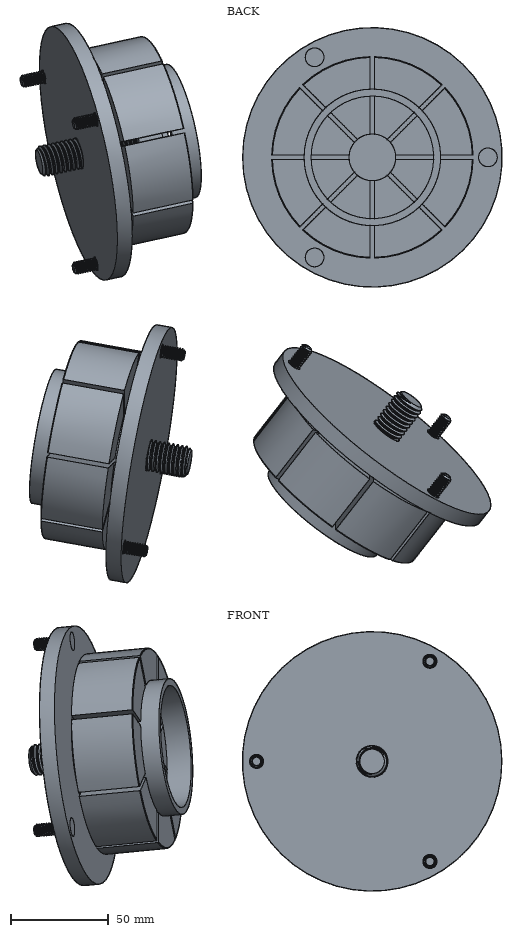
import cadquery as cq
import math


FLANGE_RADIUS = 66.5
FLANGE_THICKNESS = 8.0
NECK_RADIUS = 31.4
NECK_LENGTH = 5.2
JAW_RADIUS = 51.5
JAW_LENGTH = 32.3
JAW_CHAMFER = 0.4
JAW_FRONT = FLANGE_THICKNESS + NECK_LENGTH
JAW_BACK = JAW_FRONT + JAW_LENGTH

SLOT_COUNT = 8
SLOT_WIDTH = 2.3
SLOT_FLOOR = FLANGE_THICKNESS + NECK_LENGTH / 2

RING_RADIUS = 35.0
RING_WALL = 3.6
RING_PROTRUSION = 9.6
RING_SEAT_DEPTH = 3.0
RING_FRONT = JAW_BACK - RING_SEAT_DEPTH
RING_LENGTH = RING_SEAT_DEPTH + RING_PROTRUSION

BOLT_RADIUS = 8.0
BOLT_TIP_CHAMFER = 1.7
BOLT_PROTRUSION = 21.1
BOLT_HEAD_RADIUS = 12.0
BOLT_HEAD_SEAT = 29.8
BOLT_SHANK_LENGTH = BOLT_PROTRUSION + BOLT_HEAD_SEAT
BOLT_THREAD_TURNS = 22
BOLT_PITCH = BOLT_SHANK_LENGTH / BOLT_THREAD_TURNS
BOLT_HEAD_HEIGHT = RING_FRONT - BOLT_HEAD_SEAT
BOLT_HOLE_RADIUS = 8.1

SCREW_COUNT = 3
SCREW_CIRCLE_RADIUS = 59.1
SCREW_FIRST_ANGLE = 60
SCREW_RADIUS = 3.2
SCREW_HOLE_RADIUS = 3.6
SCREW_PITCH = 1.28
SCREW_TIP_CHAMFER = 1.0
SCREW_PROTRUSION = 12.0
SCREW_HEAD_RADIUS = 4.8
SCREW_HEAD_HEIGHT = 3.2
SCREW_HEAD_SEAT = FLANGE_THICKNESS - SCREW_HEAD_HEIGHT

THREAD_DEPTH_RATIO = 5 / 8 * math.sqrt(3) / 2
CREST_FLAT_RATIO = 1 / 8
FLANK_ANGLE = math.radians(30)
THREAD_START_ANGLE = 245
ROOT_OVERLAP = 0.1
ENVELOPE_MARGIN = 0.01


def cylinder(radius, y_start, length):
    """Cylinder on the Y axis running from y_start towards +Y."""
    return cq.Workplane("XZ", origin=(0, y_start, 0)).circle(radius).extrude(-length)


def thread_ridge(radius, root, pitch, length):
    """Right-hand helical ridge on the Z axis, with its flanks continued a little below the root."""
    base = root - ROOT_OVERLAP
    crest_half = CREST_FLAT_RATIO * pitch / 2
    base_half = crest_half + (radius - base) * math.tan(FLANK_ANGLE)
    profile = [(base, -base_half), (radius, -crest_half), (radius, crest_half), (base, base_half)]
    helix = cq.Workplane(cq.Wire.makeHelix(pitch, length, root))
    return cq.Workplane("XZ").polyline(profile).close().sweep(helix, isFrenet=True)


def threaded_rod(radius, pitch, length, tip_chamfer):
    """Threaded rod on the Y axis with its chamfered tip at Y = 0, running towards +Y."""
    root = radius - THREAD_DEPTH_RATIO * pitch
    ridge = thread_ridge(radius, root, pitch, length + 2 * pitch)
    ridge = ridge.rotate((0, 0, 0), (0, 0, 1), THREAD_START_ANGLE).translate((0, 0, -pitch))
    core = cq.Workplane("XY").circle(root).extrude(length + 4 * pitch).translate((0, 0, -2 * pitch))
    thread = core.union(ridge)
    envelope = cq.Workplane("XY").circle(radius + ENVELOPE_MARGIN).extrude(length)
    envelope = envelope.faces("<Z").chamfer(tip_chamfer)
    return thread.intersect(envelope).rotate((0, 0, 0), (1, 0, 0), -90)


def screw_positions():
    """(x, z) of each mounting screw, evenly spaced around the flange."""
    angles = [math.radians(SCREW_FIRST_ANGLE + i * 360 / SCREW_COUNT) for i in range(SCREW_COUNT)]
    return [(SCREW_CIRCLE_RADIUS * math.cos(a), SCREW_CIRCLE_RADIUS * math.sin(a)) for a in angles]


def make_screw_head():
    """Screw head flush with the back of the flange, which is also the shape of its counterbore."""
    return cylinder(SCREW_HEAD_RADIUS, SCREW_HEAD_SEAT, SCREW_HEAD_HEIGHT)


def make_clamp_body():
    flange = cylinder(FLANGE_RADIUS, 0, FLANGE_THICKNESS)
    neck = cylinder(NECK_RADIUS, FLANGE_THICKNESS, NECK_LENGTH)
    jaws = cylinder(JAW_RADIUS, JAW_FRONT, JAW_LENGTH).faces(">Y").chamfer(JAW_CHAMFER)
    body = flange.union(neck).union(jaws)

    body = body.cut(cylinder(BOLT_HOLE_RADIUS, 0, BOLT_HEAD_SEAT))
    body = body.cut(cylinder(BOLT_HEAD_RADIUS, BOLT_HEAD_SEAT, BOLT_HEAD_HEIGHT))
    body = body.cut(cylinder(RING_RADIUS, RING_FRONT, RING_SEAT_DEPTH))

    screw_hole = cylinder(SCREW_HOLE_RADIUS, 0, SCREW_HEAD_SEAT).union(make_screw_head())
    for x, z in screw_positions():
        body = body.cut(screw_hole.translate((x, 0, z)))

    slot_length = JAW_BACK - SLOT_FLOOR
    slot = cq.Workplane("XY").box(2 * JAW_RADIUS, slot_length, SLOT_WIDTH)
    slot = slot.translate((0, SLOT_FLOOR + slot_length / 2, 0))
    for i in range(SLOT_COUNT // 2):
        body = body.cut(slot.rotate((0, 0, 0), (0, 1, 0), i * 360 / SLOT_COUNT))
    return body


def make_ring():
    ring = cylinder(RING_RADIUS, RING_FRONT, RING_LENGTH)
    return ring.cut(cylinder(RING_RADIUS - RING_WALL, RING_FRONT, RING_LENGTH))


def make_bolt():
    shank = threaded_rod(BOLT_RADIUS, BOLT_PITCH, BOLT_SHANK_LENGTH, BOLT_TIP_CHAMFER)
    shank = shank.translate((0, -BOLT_PROTRUSION, 0))
    return shank.union(cylinder(BOLT_HEAD_RADIUS, BOLT_HEAD_SEAT, BOLT_HEAD_HEIGHT))


def make_screw():
    shank_length = SCREW_PROTRUSION + SCREW_HEAD_SEAT
    shank = threaded_rod(SCREW_RADIUS, SCREW_PITCH, shank_length, SCREW_TIP_CHAMFER)
    shank = shank.translate((0, -SCREW_PROTRUSION, 0))
    return shank.union(make_screw_head())


clamp_body = make_clamp_body()
ring = make_ring()
bolt = make_bolt()
screw = make_screw()
screws = [screw.translate((x, 0, z)) for x, z in screw_positions()]

result = cq.Compound.makeCompound(
    [clamp_body.val(), ring.val(), bolt.val(), *[placed.val() for placed in screws]]
)